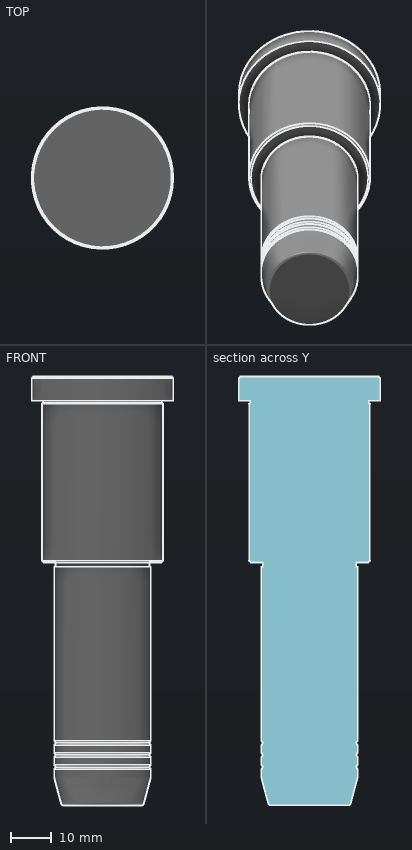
import cadquery as cq
import math

total_length = 106.0
head_diameter = 35.0
head_height = 6.0
head_bottom_z = total_length - head_height
head_edge_chamfer = 0.4
body_diameter = 30.0
body_bottom_z = 60.0
body_edge_chamfer = 0.5
shank_diameter = 24.0

taper_height = 7.0
taper_angle = 15.0
tip_edge_round = 0.7

shank_neck_height = 1.0
head_neck_height = 0.4
neck_depth = 0.3

groove_count = 3
groove_width = 1.2
groove_depth = 0.4
groove_pitch = 3.0
lowest_groove_z = 9.5


def cylinder(diameter, bottom_z, top_z):
    """Solid cylinder on the Z axis between two heights."""
    return cq.Workplane("XY").workplane(offset=bottom_z).circle(diameter / 2).extrude(top_z - bottom_z)


def vee_cutter(center_z):
    """Ring of triangular section that cuts one lubrication groove into the shank."""
    shank_radius = shank_diameter / 2
    outer_radius = shank_radius + groove_depth
    return (
        cq.Workplane("XZ")
        .moveTo(shank_radius - groove_depth, center_z)
        .lineTo(outer_radius, center_z + groove_width)
        .lineTo(outer_radius, center_z - groove_width)
        .close()
        .revolve(360, (0, 0, 0), (0, 1, 0))
    )


def make_shank():
    neck_bottom_z = body_bottom_z - shank_neck_height
    tip_radius = shank_diameter / 2 - taper_height * math.tan(math.radians(taper_angle))
    shank = (
        cq.Workplane("XZ")
        .moveTo(0, 0)
        .lineTo(tip_radius, 0)
        .lineTo(shank_diameter / 2, taper_height)
        .lineTo(shank_diameter / 2, neck_bottom_z)
        .lineTo(0, neck_bottom_z)
        .close()
        .revolve(360, (0, 0, 0), (0, 1, 0))
        .faces("<Z").edges().fillet(tip_edge_round)
    )
    for index in range(groove_count):
        shank = shank.cut(vee_cutter(lowest_groove_z + index * groove_pitch))
    neck = cylinder(shank_diameter - 2 * neck_depth, neck_bottom_z, body_bottom_z)
    return shank.union(neck)


def make_body():
    neck_bottom_z = head_bottom_z - head_neck_height
    body = cylinder(body_diameter, body_bottom_z, neck_bottom_z)
    body = body.faces("<Z").edges().chamfer(body_edge_chamfer)
    body = body.faces(">Z").edges().chamfer(neck_depth)
    return body.union(cylinder(body_diameter - 2 * neck_depth, neck_bottom_z, head_bottom_z))


def make_head():
    head = cylinder(head_diameter, head_bottom_z, total_length)
    return head.faces(">Z").edges().chamfer(head_edge_chamfer)


result = make_shank().union(make_body()).union(make_head())